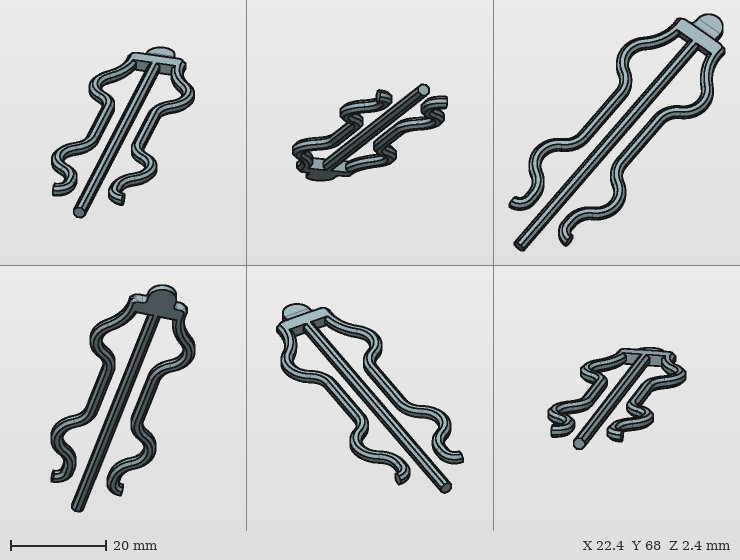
import math

import cadquery as cq

thickness = 2.4
octagon_sides = 8
pin_length = 60.0
bar_depth = 3.0
corner_radius = 0.8

leg_x = 5.0
bulge_x = 10.0
upper_bulge_y = -10.0
lower_bulge_y = -40.0
bend_radius = 5.0
shoulder_radius = 10.0
foot_y = -50.0
foot_radius = 2.5

tab_length = 5.0
tab_width = 6.0
tab_thickness = 1.4
ramp_radius = 3.0

half_thickness = thickness / 2
half_corner_angle = math.pi / octagon_sides
bulge_center_x = bulge_x - bend_radius
bend_center_x = leg_x + bend_radius
bend_angle = math.acos((bend_center_x - bulge_center_x) / (2 * bend_radius))
bend_height = 2 * bend_radius * math.sin(bend_angle)
shoulder_reach = shoulder_radius + bend_radius
shoulder_angle = math.acos(1 - (bulge_x - leg_x) / shoulder_reach)
shoulder_x = leg_x + shoulder_radius
shoulder_y = upper_bulge_y + shoulder_reach * math.sin(shoulder_angle)
ramp_rise = thickness - tab_thickness
ramp_run = math.sqrt(ramp_radius**2 - (ramp_radius - ramp_rise)**2)


def on_circle(center, radius, angle):
    return (center[0] + radius * math.cos(angle), center[1] + radius * math.sin(angle))


def arc_to(path, center, radius, start, end):
    """Continue a path along a circle, between two angles in radians."""
    middle = on_circle(center, radius, (start + end) / 2)
    return path.threePointArc(middle, on_circle(center, radius, end))


def bend_out(path, bulge_y):
    """Bend from a straight stretch of the leg out toward the bulge above it."""
    center = (bend_center_x, bulge_y - bend_height)
    return arc_to(path, center, bend_radius, math.pi, math.pi - bend_angle)


def octagon(plane, origin):
    """Wire section with flats on its top, bottom and both sides."""
    across_corners = thickness / math.cos(half_corner_angle)
    turn = math.degrees(half_corner_angle)
    section = cq.Workplane(plane, origin=origin).transformed(rotate=(0, 0, turn))
    return section.polygon(octagon_sides, across_corners)


def trim_behind_bar(solid):
    """Cut off everything behind the flat back of the bar."""
    cutter = cq.Workplane("XY", origin=(0, bar_depth, 0)).box(
        4 * bulge_x, 4 * bulge_x, 4 * thickness, centered=(True, False, True)
    )
    return solid.cut(cutter)


def make_leg():
    """Right-hand leg, swept from the hooked foot up past the back of the bar."""
    foot_tip = (leg_x + foot_radius, foot_y - foot_radius)
    lower_center = (bulge_center_x, lower_bulge_y)
    upper_center = (bulge_center_x, upper_bulge_y)

    shoulder_center = (shoulder_x, shoulder_y)
    overrun_y = bar_depth + half_thickness
    overrun_angle = math.asin((overrun_y - shoulder_y) / shoulder_radius)

    path = cq.Workplane("XY").moveTo(*foot_tip)
    path = arc_to(path, (leg_x + foot_radius, foot_y), foot_radius, 1.5 * math.pi, math.pi)
    path = path.lineTo(leg_x, lower_bulge_y - bend_height)
    path = bend_out(path, lower_bulge_y)
    path = arc_to(path, lower_center, bend_radius, -bend_angle, bend_angle)
    lower_bend_top = (bend_center_x, lower_bulge_y + bend_height)
    path = arc_to(path, lower_bend_top, bend_radius, math.pi + bend_angle, math.pi)
    path = path.lineTo(leg_x, upper_bulge_y - bend_height)
    path = bend_out(path, upper_bulge_y)
    path = arc_to(path, upper_center, bend_radius, -bend_angle, shoulder_angle)
    path = arc_to(
        path, shoulder_center, shoulder_radius, math.pi + shoulder_angle, math.pi - overrun_angle
    )

    leg = octagon("YZ", (*foot_tip, 0)).sweep(path)
    return trim_behind_bar(leg)


def make_corner_waste():
    """Material outside the rounding of the right-hand back corner.

    A wedge with the leg's outer side and outer slopes is rounded along its back edges.
    The slopes run on past the flat top and bottom, so the rounding ends there cleanly.
    """
    side_x = leg_x + half_thickness
    half_side = half_thickness * math.tan(half_corner_angle)
    half_height = thickness
    slope_end_x = side_x - (half_height - half_side)
    wedge_sweep = 30
    wedge = (
        cq.Workplane("XZ", origin=(0, shoulder_y, 0))
        .moveTo(0, -half_height)
        .lineTo(slope_end_x, -half_height)
        .lineTo(side_x, -half_side)
        .lineTo(side_x, half_side)
        .lineTo(slope_end_x, half_height)
        .lineTo(0, half_height)
        .close()
        .revolve(wedge_sweep, (shoulder_x, 1, 0), (shoulder_x, 0, 0))
    )
    wedge = trim_behind_bar(wedge)

    back_edges = wedge.faces(">Y").edges("not |X").edges("not <X")
    return wedge.cut(wedge.newObject(back_edges.vals()).fillet(corner_radius))


def make_frame():
    """Cross bar with both legs, its outer back corners rounded."""
    bar = cq.Workplane("XY").box(
        2 * leg_x, bar_depth, thickness, centered=(True, False, True)
    )
    leg = make_leg()
    waste = make_corner_waste()
    frame = bar.union(leg).union(leg.mirror("YZ"))
    return frame.cut(waste).cut(waste.mirror("YZ"))


def make_pin():
    """Straight octagonal pin between the legs."""
    return octagon("XZ", (0, 0, 0)).extrude(pin_length)


def make_tab():
    """Round-ended tab, flared where it meets the bar and ramped up to its top."""
    half_width = tab_width / 2
    end_y = bar_depth + tab_length
    round_y = end_y - half_width
    flare_x = half_width + corner_radius
    flare_y = bar_depth + corner_radius
    flare_mid = corner_radius * (1 - math.sqrt(0.5))
    outline = (
        cq.Workplane("XY", origin=(0, 0, -half_thickness))
        .moveTo(-flare_x, bar_depth)
        .threePointArc((-half_width - flare_mid, bar_depth + flare_mid), (-half_width, flare_y))
        .lineTo(-half_width, round_y)
        .threePointArc((0, end_y), (half_width, round_y))
        .lineTo(half_width, flare_y)
        .threePointArc((half_width + flare_mid, bar_depth + flare_mid), (flare_x, bar_depth))
        .close()
    )
    blank = outline.extrude(thickness)

    ramp_end_y = bar_depth + ramp_run
    tab_top = tab_thickness - half_thickness
    mid_angle = -math.pi / 2 - math.asin(ramp_run / ramp_radius) / 2
    ramp_mid = on_circle((ramp_end_y, tab_top + ramp_radius), ramp_radius, mid_angle)
    profile = (
        cq.Workplane("YZ")
        .moveTo(bar_depth, half_thickness)
        .threePointArc(ramp_mid, (ramp_end_y, tab_top))
        .lineTo(end_y, tab_top)
        .lineTo(end_y, -half_thickness)
        .lineTo(bar_depth, -half_thickness)
        .close()
        .extrude(flare_x, both=True)
    )
    return blank.intersect(profile)


result = make_frame().union(make_pin()).union(make_tab())